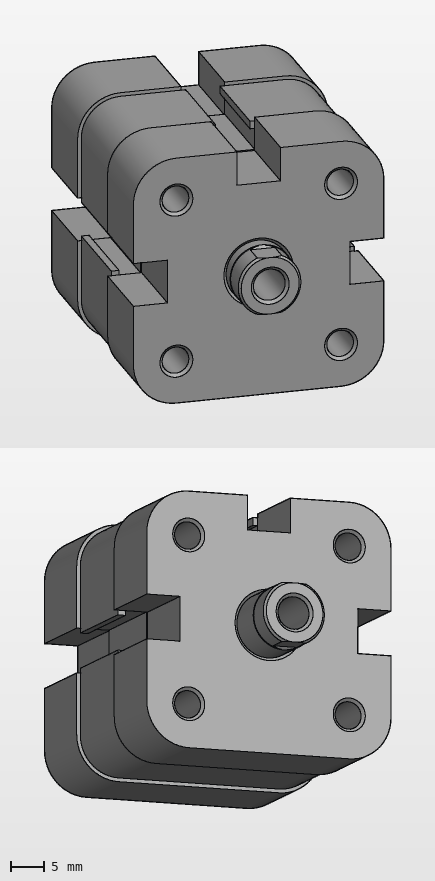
import cadquery as cq
import math

FRONT_CAP_LENGTH = 13.95
BARREL_LENGTH = 16.05
REAR_CAP_LENGTH = 13.85

CAP_WIDTH = 39.5
BARREL_STEP = 0.58
TIE_HOLE_PITCH = 26.0
TIE_HOLE_DIAMETER = 4.2
HOLE_CHAMFER = 0.5

SLOT_WIDTH = 6.9
SLOT_DEPTH = 5.35
BARREL_FLOOR_RISE = 0.2
LIP_GAP = 5.4
LIP_THICKNESS = 1.2

ROD_DIAMETER = 10.0
ROD_LENGTH = 61.0
ROD_FRONT_REACH = 11.0
TIP_DIAMETER = 9.9
TIP_LENGTH = 4.45
TIP_CHAMFER = 0.35
FLAT_DISTANCE = 9.1
FLAT_LENGTH = 4.1
SOCKET_DIAMETER = 5.0
SOCKET_MOUTH_DIAMETER = 6.0
SOCKET_DEPTH = 12.2
DRILL_POINT_ANGLE = 118.0

CORNER_RADIUS = (CAP_WIDTH - TIE_HOLE_PITCH) / 2
BARREL_START = FRONT_CAP_LENGTH
BARREL_END = BARREL_START + BARREL_LENGTH
SLOT_FLOOR = CAP_WIDTH / 2 - SLOT_DEPTH
BARREL_SLOT_FLOOR = SLOT_FLOOR + BARREL_FLOOR_RISE
BARREL_WIDTH = CAP_WIDTH - 2 * BARREL_STEP
SLOT_ANGLES = (0, 90, -90)


def rounded_bar(start, length, width, radius):
    """Square bar along X with rounded long edges."""
    bar = cq.Workplane("YZ", origin=(start, 0, 0)).rect(width, width).extrude(length)
    return bar.edges("|X").fillet(radius)


def groove(start, length, width, floor, top):
    """Cutter for a lengthwise groove from floor to top, on each of the three slotted sides."""
    height = top - floor
    middle = (start + length / 2, 0, floor + height / 2)
    cutter = cq.Workplane("XY").box(length, width, height).translate(middle)
    cutters = cq.Workplane("XY")
    for angle in SLOT_ANGLES:
        cutters.add(cutter.rotate((0, 0, 0), (1, 0, 0), angle))
    return cutters.combine()


def bore_holes(body, start, length):
    """Cut the four tie holes and the rod bore."""
    section = cq.Workplane("YZ", origin=(start, 0, 0))
    ties = section.rect(TIE_HOLE_PITCH, TIE_HOLE_PITCH, forConstruction=True).vertices()
    ties = ties.circle(TIE_HOLE_DIAMETER / 2).extrude(length)
    rod_bore = section.circle(ROD_DIAMETER / 2).extrude(length)
    return body.cut(ties).cut(rod_bore)


class HoleRims(cq.Selector):
    """Selects the closed circles, leaving out the arcs of the rounded corners."""

    def filter(self, edges):
        return [edge for edge in edges if edge.IsClosed()]


def make_cap(start, length, outer_face):
    """End cap with three open slots and chamfered hole mouths on its outer face."""
    cap = rounded_bar(start, length, CAP_WIDTH, CORNER_RADIUS)
    cap = cap.cut(groove(start, length, SLOT_WIDTH, SLOT_FLOOR, CAP_WIDTH / 2))
    cap = bore_holes(cap, start, length)
    return cap.faces(outer_face).edges(HoleRims()).chamfer(HOLE_CHAMFER)


def make_barrel():
    """Middle section; lips narrow the opening of its three slots."""
    surface = BARREL_WIDTH / 2
    barrel = rounded_bar(BARREL_START, BARREL_LENGTH, BARREL_WIDTH, CORNER_RADIUS - BARREL_STEP)
    below_lips = groove(BARREL_START, BARREL_LENGTH, SLOT_WIDTH, BARREL_SLOT_FLOOR, surface - LIP_THICKNESS)
    opening = groove(BARREL_START, BARREL_LENGTH, LIP_GAP, BARREL_SLOT_FLOOR, surface)
    return bore_holes(barrel.cut(below_lips).cut(opening), BARREL_START, BARREL_LENGTH)


def tip_flat_cutter():
    """Cutter for one flat on a tip ending at X = 0, with a 45 degree run-out."""
    flat = FLAT_DISTANCE / 2
    above = ROD_DIAMETER
    outline = [(0, flat), (FLAT_LENGTH, flat), (FLAT_LENGTH + above - flat, above), (0, above)]
    return cq.Workplane("XZ").polyline(outline).close().extrude(ROD_DIAMETER / 2, both=True)


def socket_cutter():
    """Drilled hole with a countersunk mouth and a conical bottom, opening at X = 0."""
    radius = SOCKET_DIAMETER / 2
    mouth = SOCKET_MOUTH_DIAMETER / 2
    point = SOCKET_DEPTH + radius / math.tan(math.radians(DRILL_POINT_ANGLE / 2))
    outline = [(0, 0), (0, mouth), (mouth - radius, radius), (SOCKET_DEPTH, radius), (point, 0)]
    return cq.Workplane("XY").polyline(outline).close().revolve(360, (0, 0, 0), (1, 0, 0))


def make_half_rod():
    """Half of the rod, with its tip at X = 0."""
    tip = TIP_DIAMETER / 2
    shank = ROD_DIAMETER / 2
    half_length = ROD_LENGTH / 2
    outline = [
        (0, 0),
        (0, tip - TIP_CHAMFER),
        (TIP_CHAMFER, tip),
        (TIP_LENGTH, tip),
        (TIP_LENGTH + shank - tip, shank),
        (half_length, shank),
        (half_length, 0),
    ]
    half = cq.Workplane("XY").polyline(outline).close().revolve(360, (0, 0, 0), (1, 0, 0))
    flat = tip_flat_cutter()
    return half.cut(flat).cut(flat.mirror("XY")).cut(socket_cutter())


def make_rod():
    """Through rod, with the same tip at both ends."""
    front_half = make_half_rod()
    rear_half = front_half.mirror("YZ").translate((ROD_LENGTH, 0, 0))
    return front_half.union(rear_half, clean=True).translate((-ROD_FRONT_REACH, 0, 0))


front_cap = make_cap(0, FRONT_CAP_LENGTH, "<X")
barrel = make_barrel()
rear_cap = make_cap(BARREL_END, REAR_CAP_LENGTH, ">X")
rod = make_rod()

result = cq.Compound.makeCompound([front_cap.val(), barrel.val(), rear_cap.val(), rod.val()])